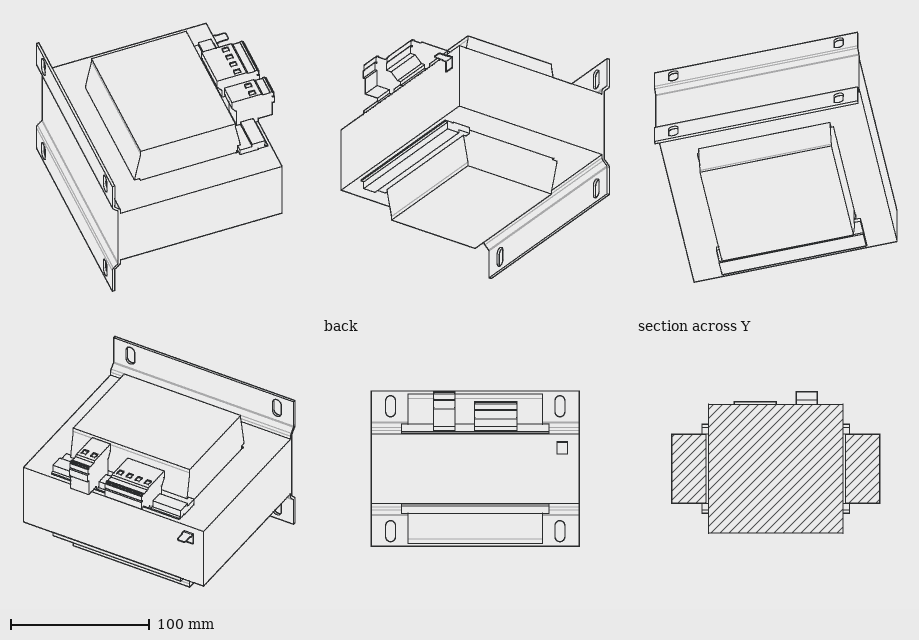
import cadquery as cq
import math

OVERALL_DEPTH = 143.25

CORE_WIDTH = 150.0
CORE_DEPTH = 125.0
CORE_HEIGHT = 50.0
CORE_FRONT = 6.5
CORE_BACK = CORE_FRONT + CORE_DEPTH
CORE_TOP = CORE_HEIGHT / 2
LIMB = CORE_WIDTH / 6
WINDOW_WIDTH = 100.5
WINDOW_DEPTH = CORE_DEPTH - 2 * LIMB
CORE_MID_Y = CORE_FRONT + CORE_DEPTH / 2

COIL_WIDTH = 97.0
COIL_HEIGHT = 107.5
COIL_END_DEPTH = 73.3
COIL_RIM = 3.0
COIL_ROOT_DEPTH = 83.0

BRACKET_HEIGHT = 112.0
BRACKET_THICKNESS = 2.0
WEB_FRONT = CORE_FRONT - BRACKET_THICKNESS
BEND_RADIUS = 1.0
BEND_ANGLE = math.radians(45)
FLANGE_ROOT_Z = 33.8
SLOT_SPACING_X = 122.0
SLOT_SPACING_Z = 90.0
SLOT_LENGTH = 15.0
SLOT_WIDTH = 7.0

CARRIER_WIDTH = 106.4
CARRIER_FRONT = 107.4
CARRIER_STEP_Y = 116.8
CARRIER_BACK = 126.7
CARRIER_LIP_BACK = 128.9
CARRIER_TOP = 32.2
CARRIER_STEP_Z = 29.8
CARRIER_LIP_Z = 26.7
CARRIER_GAP = 0.6
CARRIER_GAP_FRONT = 121.7

TERMINAL_WIDTH = 15.2
TERMINAL_TOP = 48.4
RAISED_BY = 7.2
TERMINAL_FRONT = 110.3
TERMINAL_STEM_FRONT = 114.0
TERMINAL_STEM_BACK = 133.5
BASE_DROP = 18.0
FOOT_BACK = 130.8
FOOT_Z = 27.4
NOSE_DROP = 6.2
NOSE_SLOPE = 5.3
LEDGE_START = 133.1
LEDGE_END = 134.4
LEDGE_DROP = 1.2
RIDGE_FRONT = 139.8
RIDGE_DROP = 0.6
RECESS_BACK = 141.6
RECESS_DROP = 6.6
HEAD_DROP = 12.6
CHAMFER_START_Y = 139.2
LABEL_BACK = 142.7
LABEL_TOP_DROP = 1.7
LABEL_BOTTOM_DROP = 5.8
ENTRY_WIDTH = 3.6
ENTRY_LENGTH = 4.6
ENTRY_DEPTH = 1.0
ENTRY_MID_Y = 127.4
LOW_TERMINALS_X = (-22.4, -22.4 + TERMINAL_WIDTH)
RAISED_TERMINAL_X = 22.3

TAB_X = -62.7
TAB_ROOT_WIDTH = 7.8
TAB_BLADE_WIDTH = 6.6
TAB_THICKNESS = 0.7
TAB_TOP = 19.6
TAB_BOTTOM = 10.6
TAB_END = 142.9
TAB_SHOULDER = 135.1
TAB_CHAMFER = 0.9


def box(x_range, y_range, z_range):
    """Box between the given limits on each axis."""
    size = [r[1] - r[0] for r in (x_range, y_range, z_range)]
    corner = (x_range[0], y_range[0], z_range[0])
    return cq.Workplane("XY").box(*size, centered=False).translate(corner)


def extrude_along_x(outline, width, x_mid=0.0):
    """Extrude a closed YZ outline symmetrically about x_mid."""
    return outline.close().extrude(width / 2, both=True).translate((x_mid, 0, 0))


def make_core():
    core = cq.Workplane("XY").box(CORE_WIDTH, CORE_DEPTH, CORE_HEIGHT)
    window = cq.Workplane("XY").box(WINDOW_WIDTH, WINDOW_DEPTH, CORE_HEIGHT)
    return core.cut(window).translate((0, CORE_MID_Y, 0))


def make_coil():
    end, root = COIL_END_DEPTH / 2, COIL_ROOT_DEPTH / 2
    window = WINDOW_DEPTH / 2
    top = COIL_HEIGHT / 2
    rim = top - COIL_RIM
    upper_half = [
        (-window, 0), (-window, CORE_TOP), (-root, CORE_TOP), (-end, rim), (-end, top),
        (end, top), (end, rim), (root, CORE_TOP), (window, CORE_TOP), (window, 0),
    ]
    outline = cq.Workplane("YZ").polyline(upper_half)
    upper = extrude_along_x(outline, COIL_WIDTH).translate((0, CORE_MID_Y, 0))
    return upper.union(upper.mirror("XY"))


def make_bracket():
    """Half of the joggled bracket, mirrored about the XY plane, with four slots."""
    outer_radius = BEND_RADIUS + BRACKET_THICKNESS
    flange_centre_y = outer_radius
    web_centre_y = WEB_FRONT - BEND_RADIUS

    def flange_bend(radius, angle):
        return (flange_centre_y - radius * math.cos(angle), FLANGE_ROOT_Z - radius * math.sin(angle))

    slope_run = web_centre_y - flange_centre_y + (outer_radius + BEND_RADIUS) * math.cos(BEND_ANGLE)
    slope_rise = slope_run / math.tan(BEND_ANGLE)
    web_end_z = FLANGE_ROOT_Z - slope_rise - (outer_radius + BEND_RADIUS) * math.sin(BEND_ANGLE)

    def web_bend(radius, angle):
        return (web_centre_y + radius * math.cos(angle), web_end_z + radius * math.sin(angle))

    half_angle = BEND_ANGLE / 2
    top = BRACKET_HEIGHT / 2
    outline = (
        cq.Workplane("YZ")
        .moveTo(WEB_FRONT, 0)
        .lineTo(WEB_FRONT, web_end_z)
        .threePointArc(web_bend(BEND_RADIUS, half_angle), web_bend(BEND_RADIUS, BEND_ANGLE))
        .lineTo(*flange_bend(outer_radius, BEND_ANGLE))
        .threePointArc(flange_bend(outer_radius, half_angle), (0, FLANGE_ROOT_Z))
        .lineTo(0, top)
        .lineTo(BRACKET_THICKNESS, top)
        .lineTo(BRACKET_THICKNESS, FLANGE_ROOT_Z)
        .threePointArc(flange_bend(BEND_RADIUS, half_angle), flange_bend(BEND_RADIUS, BEND_ANGLE))
        .lineTo(*web_bend(outer_radius, BEND_ANGLE))
        .threePointArc(web_bend(outer_radius, half_angle), (CORE_FRONT, web_end_z))
        .lineTo(CORE_FRONT, 0)
    )
    half = extrude_along_x(outline, CORE_WIDTH)
    slots = (
        cq.Workplane("XZ")
        .rarray(SLOT_SPACING_X, SLOT_SPACING_Z, 2, 2)
        .slot2D(SLOT_LENGTH, SLOT_WIDTH, 90)
        .extrude(-BRACKET_THICKNESS)
    )
    return half.union(half.mirror("XY")).cut(slots)


def make_carrier():
    outline = cq.Workplane("YZ").polyline([
        (CARRIER_FRONT, CORE_TOP),
        (CARRIER_FRONT, CARRIER_STEP_Z),
        (CARRIER_STEP_Y, CARRIER_STEP_Z),
        (CARRIER_STEP_Y, CARRIER_TOP),
        (CARRIER_BACK, CARRIER_TOP),
        (CARRIER_BACK, CARRIER_LIP_Z),
        (CARRIER_LIP_BACK, CARRIER_LIP_Z),
        (CARRIER_LIP_BACK, CORE_TOP + CARRIER_GAP),
        (CARRIER_GAP_FRONT, CORE_TOP + CARRIER_GAP),
        (CARRIER_GAP_FRONT, CORE_TOP),
    ])
    return extrude_along_x(outline, CARRIER_WIDTH)


def make_terminal(x_mid, top):
    """Terminal block with a stem that reaches down into the carrier."""
    nose_z = top - NOSE_DROP
    head_z = top - HEAD_DROP
    base_z = top - BASE_DROP
    outline = cq.Workplane("YZ").polyline([
        (TERMINAL_STEM_FRONT, FOOT_Z),
        (TERMINAL_STEM_FRONT, nose_z - NOSE_SLOPE),
        (TERMINAL_FRONT, nose_z),
        (TERMINAL_FRONT, top),
        (LEDGE_START, top),
        (LEDGE_END, top - LEDGE_DROP),
        (RIDGE_FRONT, top - LEDGE_DROP),
        (RIDGE_FRONT, top - RIDGE_DROP),
        (RECESS_BACK, top - RIDGE_DROP),
        (RECESS_BACK, top - RECESS_DROP),
        (OVERALL_DEPTH, top - RECESS_DROP),
        (OVERALL_DEPTH, head_z),
        (CHAMFER_START_Y, head_z),
        (TERMINAL_STEM_BACK, base_z),
        (FOOT_BACK, base_z),
        (FOOT_BACK, FOOT_Z),
    ])
    terminal = extrude_along_x(outline, TERMINAL_WIDTH, x_mid)
    x_range = (x_mid - TERMINAL_WIDTH / 2, x_mid + TERMINAL_WIDTH / 2)
    label = box(x_range, (RECESS_BACK, LABEL_BACK), (top - LABEL_BOTTOM_DROP, top - LABEL_TOP_DROP))
    entries = (
        cq.Workplane("XY", origin=(x_mid, ENTRY_MID_Y, top))
        .rarray(TERMINAL_WIDTH / 2, 1, 2, 1)
        .rect(ENTRY_WIDTH, ENTRY_LENGTH)
        .extrude(-ENTRY_DEPTH)
    )
    return terminal.union(label).cut(entries)


def make_riser():
    """Block under the raised terminal."""
    x_range = (RAISED_TERMINAL_X - TERMINAL_WIDTH / 2, RAISED_TERMINAL_X + TERMINAL_WIDTH / 2)
    head_z = TERMINAL_TOP + RAISED_BY - HEAD_DROP
    return box(x_range, (TERMINAL_STEM_FRONT, RECESS_BACK), (TERMINAL_TOP - BASE_DROP, head_z))


def make_earth_tab():
    """Angled flat tab: a leg on the back of the core and a blade pointing to +Y."""
    root, blade = TAB_ROOT_WIDTH / 2, TAB_BLADE_WIDTH / 2
    tip = blade - TAB_CHAMFER
    blade_plate = (
        cq.Workplane("XY", origin=(TAB_X, 0, TAB_TOP))
        .polyline([
            (-root, CORE_BACK), (-root, TAB_SHOULDER), (-blade, TAB_SHOULDER),
            (-blade, TAB_END - TAB_CHAMFER), (-tip, TAB_END), (tip, TAB_END),
            (blade, TAB_END - TAB_CHAMFER), (blade, TAB_SHOULDER),
            (root, TAB_SHOULDER), (root, CORE_BACK),
        ])
        .close()
        .extrude(-TAB_THICKNESS)
    )
    leg = box(
        (TAB_X - root, TAB_X + root),
        (CORE_BACK, CORE_BACK + TAB_THICKNESS),
        (TAB_BOTTOM, TAB_TOP),
    )
    return blade_plate.union(leg)


carrier = make_carrier()
result = make_core().union(make_coil()).union(make_bracket())
result = result.union(carrier).union(carrier.mirror("XY"))
for terminal_x in LOW_TERMINALS_X:
    result = result.union(make_terminal(terminal_x, TERMINAL_TOP))
result = result.union(make_terminal(RAISED_TERMINAL_X, TERMINAL_TOP + RAISED_BY))
result = result.union(make_riser()).union(make_earth_tab())